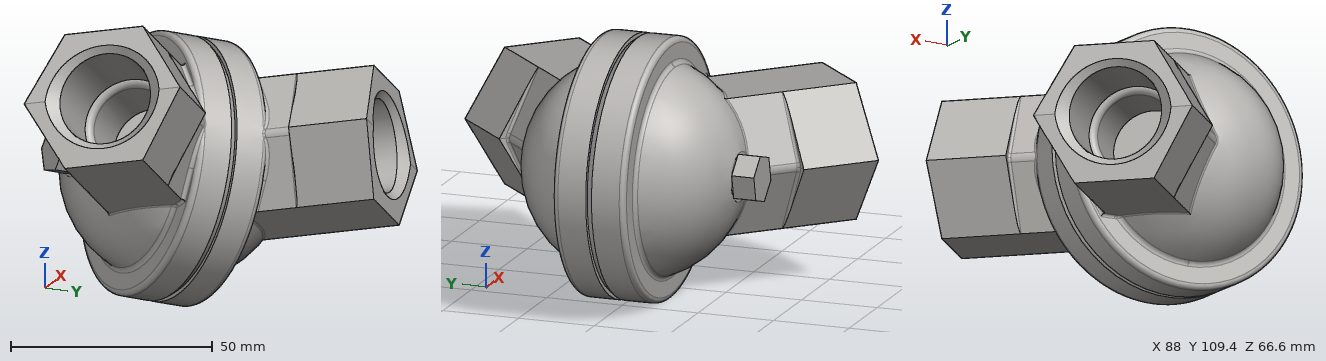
import cadquery as cq
import math

ball_radius = 28.4
flange_radius = 33.3
flange_half_width = 9.5
rim_round = 1.4
ball_root_round = 1.4
neck_root_round = 0.8
joint_y = 0.8
bevel_width = 1.5
bevel_depth = 1.1

socket_angle = 45
corner_reach = 54.7
socket_half_height = 17.6
socket_corner = socket_half_height / math.cos(math.radians(30))
socket_half_flat = socket_corner / 2
socket_end = corner_reach * math.sqrt(2) - socket_corner
end_slope = 1.4
shoulder = 36.6
shoulder_slope = 0.7
shoulder_round = 0.7

neck_start = 19.1
neck_corner = 18.0
neck_corner_round = 2.7
neck_peak = neck_corner * socket_half_height / (neck_corner - socket_half_flat)

bore_radius = 11.8
bore_floor = 34.3
lead_in_start = 54.5
lead_in_flare = 1.2
passage_radius = 10.1
passage_floor = 16.4
step_round = bore_radius - passage_radius

plug_corner_diameter = 12.7
plug_end = 33.6
plug_turn = 43
plug_seat = math.sqrt(ball_radius**2 - (plug_corner_diameter / 2) ** 2)

clearance = 5.5


def hexagon_bar():
    """Hexagonal bar along X with flats at the top and bottom."""
    length = socket_end - neck_start
    return (
        cq.Workplane("YZ")
        .workplane(offset=neck_start)
        .polygon(6, 2 * socket_corner)
        .extrude(length)
    )


def neck_bar():
    """Diamond-shaped bar along X with rounded side corners."""
    diamond = (
        cq.Workplane("YZ")
        .workplane(offset=neck_start)
        .polyline([(neck_corner, 0), (0, neck_peak), (-neck_corner, 0), (0, -neck_peak)])
        .close()
        .extrude(shoulder - neck_start + clearance)
    )
    return diamond.edges("|X and (>Y or <Y)").fillet(neck_corner_round)


def socket_block():
    """Wide block between the sloped shoulder faces and the ridged end faces."""
    height = neck_peak + clearance
    shoulder_shift = shoulder_slope * height / socket_half_height
    end_shift = end_slope * height / socket_half_height
    return (
        cq.Workplane("XZ")
        .polyline([
            (shoulder, 0),
            (shoulder - shoulder_shift, height),
            (socket_end - end_shift, height),
            (socket_end, 0),
            (socket_end - end_shift, -height),
            (shoulder - shoulder_shift, -height),
        ])
        .close()
        .extrude(socket_corner + clearance, both=True)
    )


def socket():
    """Socket and neck along +X: the stepped block trimmed by the hexagonal bar."""
    around_neck = cq.selectors.BoxSelector(
        (shoulder - clearance, -neck_corner, -neck_peak),
        (shoulder + clearance, neck_corner, neck_peak),
    )
    stepped = neck_bar().union(socket_block())
    stepped = stepped.edges(around_neck).fillet(shoulder_round)
    return hexagon_bar().intersect(stepped)


def bore():
    """Everything removed from inside a socket along +X."""
    cut_end = socket_end + clearance
    cut_end_radius = bore_radius + lead_in_flare * (cut_end - lead_in_start)
    arc_offset = step_round * math.sqrt(0.5)
    arc_middle = (bore_floor - step_round + arc_offset, bore_radius - arc_offset)
    return (
        cq.Workplane("XY")
        .moveTo(passage_floor, 0)
        .lineTo(passage_floor, passage_radius)
        .lineTo(bore_floor - step_round, passage_radius)
        .threePointArc(arc_middle, (bore_floor, bore_radius))
        .lineTo(lead_in_start, bore_radius)
        .lineTo(cut_end, cut_end_radius)
        .lineTo(cut_end, 0)
        .close()
        .revolve(360, (0, 0, 0), (1, 0, 0))
    )


def turn_to_socket(shape):
    return shape.rotate((0, 0, 0), (0, 0, 1), socket_angle)


def half_body(start_y):
    """Half ball with flange and socket on the +Y side, closed by a plane at start_y."""
    ball = cq.Workplane("XY").sphere(ball_radius)
    beyond_joint = (
        cq.Workplane("XZ", origin=(0, start_y, 0)).circle(flange_radius).extrude(-flange_radius)
    )
    flange = (
        cq.Workplane("XZ", origin=(0, start_y, 0))
        .circle(flange_radius)
        .extrude(start_y - flange_half_width)
        .edges(">Y")
        .fillet(rim_round)
    )
    on_flange_face = cq.selectors.BoxSelector(
        (-flange_radius, flange_half_width - 0.01, -flange_radius),
        (flange_radius, flange_half_width + 0.01, flange_radius),
    )
    body = ball.intersect(beyond_joint).union(flange)
    body = body.faces("%SPHERE").edges(on_flange_face).fillet(ball_root_round)
    body = body.union(turn_to_socket(socket()))
    neck_lines = body.edges(cq.StringSyntaxSelector("%LINE") & on_flange_face)
    around_neck_root = cq.selectors.BoxSelector(
        (0, flange_half_width + ball_root_round, -flange_radius),
        (flange_radius, flange_radius, flange_radius),
    )
    body = body.faces("%SPHERE").edges(around_neck_root).add(neck_lines).fillet(neck_root_round)
    return body.cut(turn_to_socket(bore()))


def cover_half():
    """Plain half on the +Y side."""
    return half_body(joint_y)


def drain_half():
    """Half on the -Y side, with the weld bevel and the seat for the plug."""
    body = half_body(-joint_y).rotate((0, 0, 0), (1, 0, 0), 180)
    bevel = (
        cq.Workplane("XY")
        .polyline([
            (flange_radius, joint_y - bevel_width),
            (flange_radius, joint_y),
            (flange_radius - bevel_depth, joint_y),
        ])
        .close()
        .revolve(360, (0, 0, 0), (0, 1, 0))
    )
    ball_cap = (
        cq.Workplane("XZ", origin=(0, -plug_seat, 0))
        .circle(plug_corner_diameter / 2)
        .extrude(ball_radius - plug_seat)
    )
    return body.cut(bevel).cut(ball_cap).cut(drain_plug())


def drain_plug():
    """Hexagon head standing on the flat of the drain half."""
    return (
        cq.Workplane("XZ", origin=(0, -plug_seat, 0))
        .transformed(rotate=(0, 0, plug_turn))
        .polygon(6, plug_corner_diameter)
        .extrude(plug_end - plug_seat)
    )


cover = cover_half()
drain = drain_half()
plug = drain_plug()

result = cq.Compound.makeCompound([cover.solids().val(), drain.solids().val(), plug.val()])